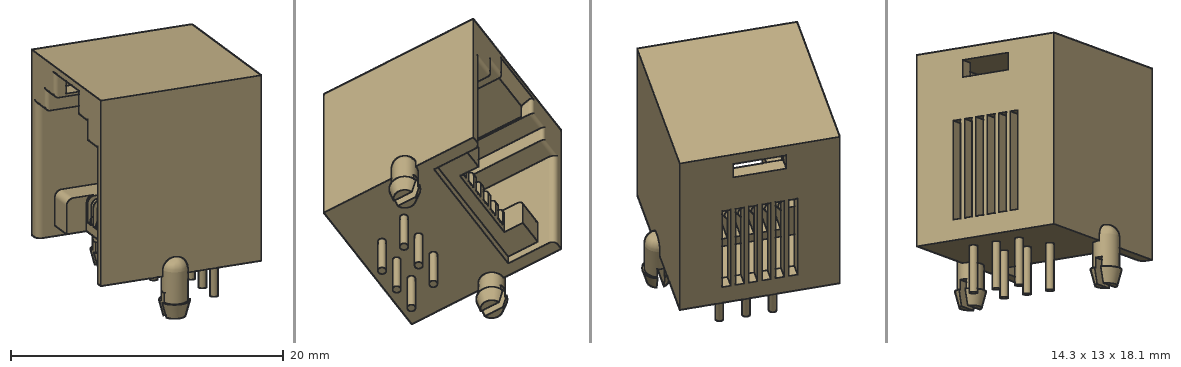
import cadquery as cq
import math

width = 12.13
depth = 13.0
height = 14.51
overall_height = 18.05
back_wall_y = 12.0
overcut = 0.9

plug_half_width = 5.1
plug_ceiling = 10.52
step_half_width = 3.52
step_ceiling = 12.04
latch_half_width = 2.0
latch_front_ceiling = 14.0
lip_radius = 0.29
plug_side_lip_radius = 0.47

hollow_half_width = step_half_width
hollow_front_y = 0.92
hollow_floor = 12.25
hollow_ceiling = 13.55

shelf_bottom = 0.83
shelf_back_y = 7.87
shelf_top = 3.6
shelf_edge_radius = 0.55
block_front_y = 1.45
comb_front_y = 3.05
comb_half_width = 3.05
base_front_y = 4.0

contact_count = 6
contact_pitch = 1.01
wire_radius = 0.3
slot_width = 0.65
slot_bottom = 1.57
slot_top = 9.08
wire_bend_radius = 0.56
wire_bend_y = 3.99
wire_slope = math.radians(30)
wire_straight_length = 6.85
pin_bottom = height - overall_height
pin_rows_y = (8.25, 10.8)
contact_xs = [(i - (contact_count - 1) / 2) * contact_pitch for i in range(contact_count)]

peg_x = 6.0
peg_y = 6.0
peg_radius = 1.0
peg_dome_base = 0.5
peg_dome_height = 0.88
barb_radius = 1.15
barb_tip_radius = 0.83
barb_top = -1.99
peg_bottom = -3.2
peg_slot_width = 0.55
peg_slot_top = -1.23


def box(x_min, x_max, y_min, y_max, z_min, z_max):
    """Box between two opposite corners."""
    size = (x_max - x_min, y_max - y_min, z_max - z_min)
    return cq.Workplane("XY").box(*size, centered=False).translate((x_min, y_min, z_min))


def side_prism(sketch, half_width):
    """Extrude a YZ outline to both sides of the centre plane."""
    return sketch.close().extrude(half_width, both=True)


def flared_walls(half_width, radius):
    """Full-height cutter whose two side walls round outwards at the front face."""
    bulge = radius * (1 - math.sqrt(0.5))
    flared = half_width + radius
    return (
        cq.Workplane("XY", origin=(0, 0, -overcut))
        .moveTo(-flared, 0)
        .threePointArc((-half_width - bulge, bulge), (-half_width, radius))
        .lineTo(-half_width, back_wall_y)
        .lineTo(half_width, back_wall_y)
        .lineTo(half_width, radius)
        .threePointArc((half_width + bulge, bulge), (flared, 0))
        .close()
        .extrude(height + overcut)
    )


def flared_ceiling(ceiling, radius):
    """Full-width cutter whose ceiling rounds upwards at the front face."""
    bulge = radius * (1 - math.sqrt(0.5))
    outline = (
        cq.Workplane("YZ")
        .moveTo(0, -overcut)
        .lineTo(0, ceiling + radius)
        .threePointArc((bulge, ceiling + bulge), (radius, ceiling))
        .lineTo(back_wall_y, ceiling)
        .lineTo(back_wall_y, -overcut)
    )
    return side_prism(outline, width)


def latch_ceiling():
    """Full-width cutter whose ceiling slopes down through the front wall, then runs level."""
    outline = (
        cq.Workplane("YZ")
        .moveTo(0, -overcut)
        .lineTo(0, latch_front_ceiling)
        .lineTo(hollow_front_y, hollow_ceiling)
        .lineTo(back_wall_y, hollow_ceiling)
        .lineTo(back_wall_y, -overcut)
    )
    return side_prism(outline, width)


def latch_window():
    """Opening above the plug that runs out through the rear wall."""
    half = latch_half_width
    return box(-half, half, hollow_front_y, depth + overcut, hollow_floor, hollow_ceiling)


def plug_opening():
    plug = flared_walls(plug_half_width, plug_side_lip_radius)
    plug = plug.intersect(flared_ceiling(plug_ceiling, lip_radius))
    step = flared_walls(step_half_width, lip_radius)
    step = step.intersect(flared_ceiling(step_ceiling, lip_radius))
    latch = flared_walls(latch_half_width, lip_radius)
    latch = latch.intersect(latch_ceiling())
    half = hollow_half_width
    hollow = box(-half, half, hollow_front_y, back_wall_y, hollow_floor, hollow_ceiling)
    return plug.union(step).union(latch).union(hollow).union(latch_window())


def shelf_part(x_min, x_max, front_y):
    """Shelf block with a rounded top front edge."""
    block = box(x_min, x_max, front_y, shelf_back_y, shelf_bottom, shelf_top)
    return block.edges("|X and >Z and <Y").fillet(shelf_edge_radius)


def contact_shelf():
    outer = (width / 2 + plug_half_width) / 2
    shelf = shelf_part(-outer, outer, comb_front_y)
    shelf = shelf.union(shelf_part(-outer, -comb_half_width, block_front_y))
    shelf = shelf.union(shelf_part(comb_half_width, outer, block_front_y))
    base = box(-outer, outer, base_front_y, depth, 0, shelf_bottom)
    return shelf.union(base)


def contact_slots():
    slots = cq.Workplane("XY")
    for x in contact_xs:
        half = slot_width / 2
        slots = slots.add(box(x - half, x + half, 0, depth + overcut, slot_bottom, slot_top))
    return slots.combine()


def contact_wire(x):
    """Spring wire rising from the slot floor, bending back and sloping up to its free end."""
    rise, run = math.sin(wire_slope), math.cos(wire_slope)
    bend_angle = math.pi / 2 - wire_slope
    middle = bend_angle / 2
    root_y = wire_bend_y - wire_bend_radius
    bend_middle = (
        wire_bend_y - wire_bend_radius * math.cos(middle),
        slot_bottom + wire_bend_radius * math.sin(middle),
    )
    bend_end = (wire_bend_y - wire_bend_radius * rise, slot_bottom + wire_bend_radius * run)
    tip = (bend_end[0] + wire_straight_length * run, bend_end[1] + wire_straight_length * rise)
    root_z = (shelf_bottom + slot_bottom) / 2
    path = (
        cq.Workplane("YZ", origin=(x, 0, 0))
        .moveTo(root_y, root_z)
        .lineTo(root_y, slot_bottom)
        .threePointArc(bend_middle, bend_end)
        .lineTo(*tip)
    )
    section = cq.Workplane("XY", origin=(x, root_y, root_z))
    return section.circle(wire_radius).sweep(path)


def solder_pin(x, y):
    pin = cq.Workplane("XY", origin=(x, y, pin_bottom)).circle(wire_radius)
    return pin.extrude(shelf_bottom - pin_bottom)


def locating_peg(x):
    """Domed round peg with a conical barb, split front to back at its lower end."""
    profile = (
        cq.Workplane("XZ")
        .moveTo(0, peg_bottom)
        .lineTo(barb_tip_radius, peg_bottom)
        .lineTo(barb_radius, barb_top)
        .lineTo(peg_radius, barb_top)
        .lineTo(peg_radius, peg_dome_base)
        .threePointArc(
            (peg_radius * math.sqrt(0.5), peg_dome_base + peg_dome_height * math.sqrt(0.5)),
            (0, peg_dome_base + peg_dome_height),
        )
        .close()
    )
    peg = profile.revolve(360, (0, 0, 0), (0, 1, 0))
    half = peg_slot_width / 2
    split = box(-half, half, -barb_radius, barb_radius, peg_bottom, peg_slot_top)
    return peg.cut(split).translate((x, peg_y, 0))


housing = box(-width / 2, width / 2, 0, depth, 0, height)
housing = housing.cut(plug_opening()).union(contact_shelf())
housing = housing.cut(contact_slots())

result = housing
for side in (-1, 1):
    result = result.union(locating_peg(side * peg_x))
for index, contact_x in enumerate(contact_xs):
    result = result.union(contact_wire(contact_x))
    result = result.union(solder_pin(contact_x, pin_rows_y[index % len(pin_rows_y)]))